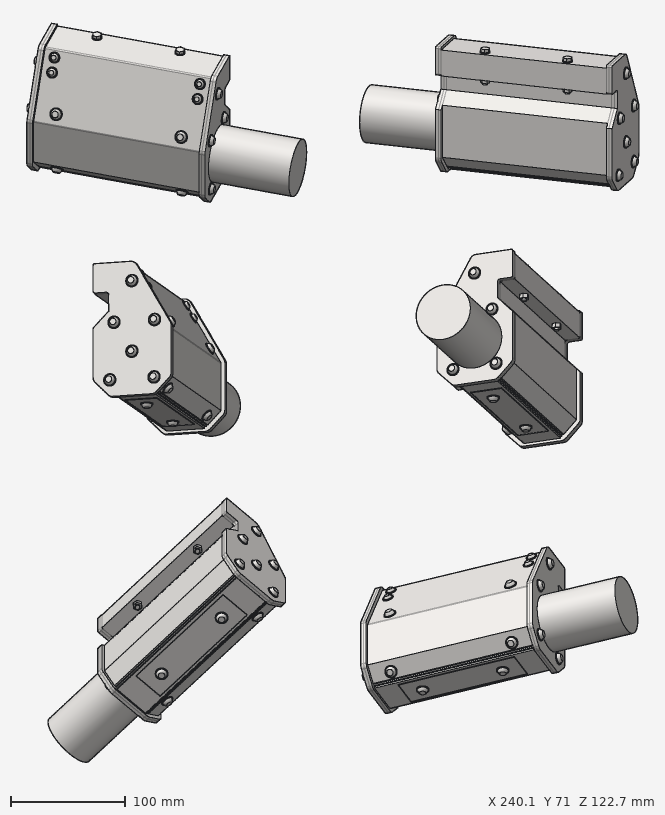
import cadquery as cq
import math

HOUSING_LENGTH = 162.8
HALF_LENGTH = HOUSING_LENGTH / 2
OUTER_PLATE = 3.0
INNER_PLATE = 2.5
END_THICKNESS = OUTER_PLATE + INNER_PLATE

HALF_WIDTH = 35.5
PLATE_TOP = 80.5
PLATE_BOTTOM = -39.0
BOTTOM_CHAMFER = 15.1
SLOPE_FOOT = 22.8
SLOPE_ANGLE = math.radians(30)
HOOK_BOTTOM = 54.3
NOTCH_Y = 21.4
NOTCH_FOOT = 37.2
HOOK_RADIUS = 1.5
NOTCH_RADIUS = 2.5
BEND_CORNER_RADIUS = 6.0

COVER_FRONT = -32.2
COVER_TOP = 78.0
COVER_BOTTOM = -33.4
COVER_SLOPE_FOOT = 21.1
COVER_CHAMFER_TOP = -21.4
BOTTOM_FLANGE = 1.5
BOTTOM_PANEL = 1.7
PANEL_STEP = 1.5
BEND_RADIUS = 1.7

PANEL_TOP = COVER_BOTTOM - BOTTOM_FLANGE

PAD_HALF_LENGTH = 55.0
PAD_HALF_WIDTH = 14.5
PAD_THICKNESS = 0.7

MOTOR_DIAMETER = 51.0
MOTOR_LENGTH = 73.5

DOME_BULGE = 0.6
SCREW_LIP = 0.7
LARGE_SCREW = (11.0, 9.5, 5.8, 3.8)
SMALL_SCREW = (9.5, 7.7, 4.3, 3.1)
SEAT = 0.7

WASHER_DIAMETER = 9.0
HEX_CORNERS = 8.2
HEAD_TURN = 40
NUT_TURN = 10
WASHER_THICKNESS = 0.7
BOLT_TOP = 81.6
NUT_HEIGHT = 3.8
STUD_DIAMETER = 4.3
STUD_LENGTH = 5.5
HOOK_BOLT_Y = 28.8

END_SCREWS = [(0, 63.0), (16.3, 27.0), (-20.7, 27.0), (20.2, -24.3), (-20.2, -24.3)]
SLOPE_LARGE_X = HALF_LENGTH - 24.3
SLOPE_SMALL_X = HALF_LENGTH - 15.0
SLOPE_LARGE_Z = 29.8
SLOPE_SMALL_Z = (71.8, 60.3)
CHAMFER_SCREW_Z = -28.8
BOLT_X = HALF_LENGTH - 43.5


def prism(points, x_start, x_end):
    """Extrude a (Y, Z) outline along X."""
    base = cq.Workplane("YZ", origin=(x_start, 0, 0))
    return base.polyline(points).close().extrude(x_end - x_start)


def end_plate_outline():
    slope_top_y = -HALF_WIDTH + (PLATE_TOP - SLOPE_FOOT) * math.tan(SLOPE_ANGLE)
    chamfer_y = HALF_WIDTH - BOTTOM_CHAMFER
    chamfer_z = PLATE_BOTTOM + BOTTOM_CHAMFER
    return [
        (slope_top_y, PLATE_TOP),
        (HALF_WIDTH, PLATE_TOP),
        (HALF_WIDTH, HOOK_BOTTOM),
        (NOTCH_Y, HOOK_BOTTOM),
        (NOTCH_Y, NOTCH_FOOT),
        (HALF_WIDTH, NOTCH_FOOT - (HALF_WIDTH - NOTCH_Y)),
        (HALF_WIDTH, chamfer_z),
        (chamfer_y, PLATE_BOTTOM),
        (-chamfer_y, PLATE_BOTTOM),
        (-HALF_WIDTH, chamfer_z),
        (-HALF_WIDTH, SLOPE_FOOT),
    ]


def end_sheet(x_start, x_end):
    outline = end_plate_outline()
    hook_corners = outline[1:3]
    notch_corner = outline[3:4]
    blunt_corners = outline[:1] + outline[6:]
    sheet = prism(outline, x_start, x_end)
    roundings = (
        (hook_corners, HOOK_RADIUS),
        (notch_corner, NOTCH_RADIUS),
        (blunt_corners, BEND_CORNER_RADIUS),
    )
    for corners, radius in roundings:
        for y, z in corners:
            edge = cq.selectors.NearestToPointSelector(((x_start + x_end) / 2, y, z))
            sheet = sheet.edges(edge).fillet(radius)
    return sheet


def cover_slope_y(z):
    return COVER_FRONT + (z - COVER_SLOPE_FOOT) * math.tan(SLOPE_ANGLE)


def slab(half_length, half_width, top, thickness):
    """Flat sheet hanging below height top."""
    base = cq.Workplane("XY", origin=(0, 0, top - thickness))
    return base.rect(2 * half_length, 2 * half_width).extrude(thickness)


def cover():
    half = HALF_LENGTH - END_THICKNESS
    chamfer = COVER_CHAMFER_TOP - COVER_BOTTOM
    outline = [
        (cover_slope_y(COVER_TOP), COVER_TOP),
        (HALF_WIDTH, COVER_TOP),
        (HALF_WIDTH, HOOK_BOTTOM),
        (NOTCH_Y, HOOK_BOTTOM),
        (NOTCH_Y, NOTCH_FOOT),
        (-COVER_FRONT, NOTCH_FOOT - (-COVER_FRONT - NOTCH_Y)),
        (-COVER_FRONT, COVER_CHAMFER_TOP),
        (-COVER_FRONT - chamfer, COVER_BOTTOM),
        (COVER_FRONT + chamfer, COVER_BOTTOM),
        (COVER_FRONT, COVER_CHAMFER_TOP),
        (COVER_FRONT, COVER_SLOPE_FOOT),
    ]
    body = prism(outline, -half, half)
    for y, z in (outline[0], outline[-1]):
        body = body.edges(cq.selectors.NearestToPointSelector((0, y, z))).fillet(BEND_RADIUS)
    flange_half_width = -COVER_FRONT - chamfer - PANEL_STEP
    flange = slab(half, flange_half_width, COVER_BOTTOM, BOTTOM_FLANGE)
    panel = slab(half, flange_half_width - PANEL_STEP, PANEL_TOP, BOTTOM_PANEL)
    pad = slab(PAD_HALF_LENGTH, PAD_HALF_WIDTH, PANEL_TOP - BOTTOM_PANEL, PAD_THICKNESS)
    return body.union(flange).union(panel).union(pad)


def button_screw(size, point, normal):
    """Domed screw head standing on point along normal."""
    *diameters, height = size
    lip, dome, tip = (diameter / 2 for diameter in diameters)
    shoulder = (
        tip + (dome - tip) * DOME_BULGE,
        SCREW_LIP + (height - SCREW_LIP) * DOME_BULGE,
    )
    head = (
        cq.Workplane("XZ")
        .moveTo(0, -SEAT)
        .lineTo(lip, -SEAT)
        .lineTo(lip, SCREW_LIP)
        .lineTo(dome, SCREW_LIP)
        .threePointArc(shoulder, (tip, height))
        .lineTo(0, height)
        .close()
        .revolve(360, (0, 0, 0), (0, 1, 0))
    )
    return head.val().moved(cq.Location(cq.Plane(origin=point, normal=normal)))


def disc(diameter, x, z_start, z_end):
    base = cq.Workplane("XY", origin=(x, HOOK_BOLT_Y, z_start))
    return base.circle(diameter / 2).extrude(z_end - z_start)


def hexagon(x, z_start, z_end, turn):
    base = cq.Workplane("XY", origin=(x, HOOK_BOLT_Y, z_start)).transformed(rotate=(0, 0, turn))
    return base.polygon(6, HEX_CORNERS).extrude(z_end - z_start)


def hook_bolt(x):
    """Bolt through the hook: washer and hex head on top, nut and stud end below."""
    washer_top = COVER_TOP + WASHER_THICKNESS
    washer = disc(WASHER_DIAMETER, x, COVER_TOP, washer_top)
    head = hexagon(x, washer_top, BOLT_TOP, HEAD_TURN)
    nut = hexagon(x, HOOK_BOTTOM - NUT_HEIGHT, HOOK_BOTTOM, NUT_TURN)
    stud = disc(STUD_DIAMETER, x, HOOK_BOTTOM - STUD_LENGTH, HOOK_BOTTOM)
    return washer, head, nut, stud


result = cover()
seam = HALF_LENGTH - OUTER_PLATE
inner_face = HALF_LENGTH - END_THICKNESS
sheet_spans = (
    (-HALF_LENGTH, -seam),
    (-seam, -inner_face),
    (inner_face, seam),
    (seam, HALF_LENGTH),
)
for x_start, x_end in sheet_spans:
    result = result.union(end_sheet(x_start, x_end), clean=False)

motor = cq.Workplane("YZ", origin=(HALF_LENGTH, 0, 0)).circle(MOTOR_DIAMETER / 2).extrude(MOTOR_LENGTH)
result = result.union(motor, clean=False)

slope_normal = (0, -math.cos(SLOPE_ANGLE), math.sin(SLOPE_ANGLE))
chamfer_normal = (0, -1, -1)
chamfer_screw_y = COVER_FRONT + COVER_CHAMFER_TOP - CHAMFER_SCREW_Z
pad_bottom = PANEL_TOP - BOTTOM_PANEL - PAD_THICKNESS

screws = [button_screw(LARGE_SCREW, (-HALF_LENGTH, 0, 0), (-1, 0, 0))]
for side in (-1, 1):
    for y, z in END_SCREWS:
        screws.append(button_screw(LARGE_SCREW, (side * HALF_LENGTH, y, z), (side, 0, 0)))
    large_x = side * SLOPE_LARGE_X
    slope_point = (large_x, cover_slope_y(SLOPE_LARGE_Z), SLOPE_LARGE_Z)
    screws.append(button_screw(LARGE_SCREW, slope_point, slope_normal))
    screws.append(button_screw(LARGE_SCREW, (large_x, chamfer_screw_y, CHAMFER_SCREW_Z), chamfer_normal))
    for z in SLOPE_SMALL_Z:
        slope_point = (side * SLOPE_SMALL_X, cover_slope_y(z), z)
        screws.append(button_screw(SMALL_SCREW, slope_point, slope_normal))
    screws.append(button_screw(LARGE_SCREW, (side * BOLT_X, 0, pad_bottom), (0, 0, -1)))
for screw in screws:
    result = result.union(cq.Workplane(screw), clean=False)

for side in (-1, 1):
    for piece in hook_bolt(side * BOLT_X):
        result = result.union(piece, clean=False)